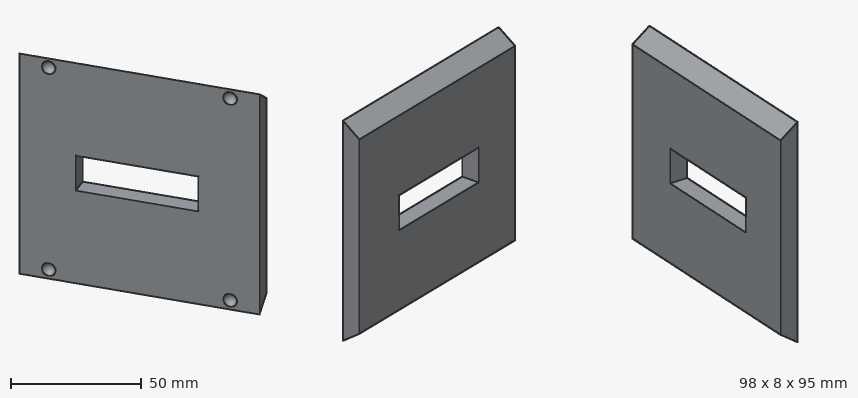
import cadquery as cq
import math

width = 98.0
thickness = 8.0
height = 95.0
bevel_angle = 35.0
bevel_drop = thickness * math.tan(math.radians(bevel_angle))

window_width = 50.0
window_height = 15.0
window_left_margin = 23.0
window_center_x = window_left_margin + window_width / 2 - width / 2

dimple_diameter = 5.5
dimple_side_margin = 12.0
dimple_end_margin = 4.0
dimple_x = width / 2 - dimple_side_margin
dimple_z = height / 2 - dimple_end_margin

front_y = -thickness / 2
back_y = thickness / 2


def bevelled_plate():
    """Trapezoidal YZ profile, full height at the front, run along X."""
    front_half = height / 2
    back_half = front_half - bevel_drop
    profile = [
        (front_y, -front_half),
        (front_y, front_half),
        (back_y, back_half),
        (back_y, -back_half),
    ]
    return cq.Workplane("YZ").polyline(profile).close().extrude(width / 2, both=True)


def window():
    """Block that cuts the window straight through the thickness."""
    block = cq.Workplane("XY").box(window_width, thickness, window_height)
    return block.translate((window_center_x, 0, 0))


def dimple(x, z):
    """Ball centred on the front face."""
    return cq.Workplane("XZ", origin=(x, front_y, z)).sphere(dimple_diameter / 2)


result = bevelled_plate().cut(window())
for x in (-dimple_x, dimple_x):
    for z in (-dimple_z, dimple_z):
        result = result.cut(dimple(x, z))